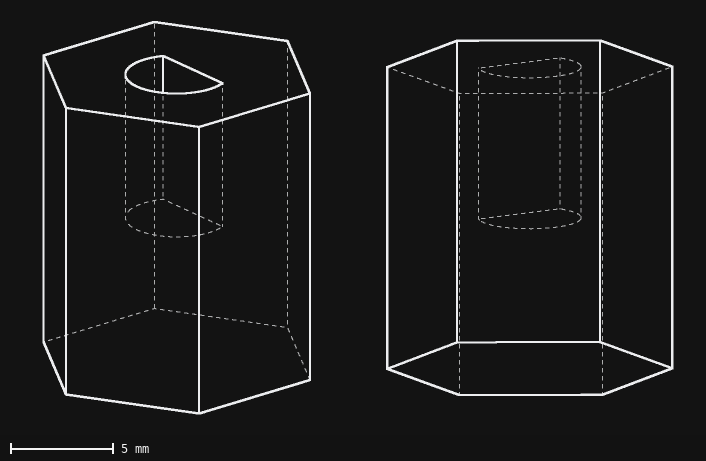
import cadquery as cq
import math

height = 15.0
across_flats = 12.0
across_corners = across_flats / math.cos(math.radians(30))

socket_diameter = 5.0
socket_flat_offset = 1.0
socket_depth = height / 2


def hex_body():
    return (
        cq.Workplane("XY")
        .transformed(rotate=(0, 0, 90))
        .polygon(6, across_corners)
        .extrude(height)
    )


def d_socket():
    radius = socket_diameter / 2
    half_flat = math.sqrt(radius**2 - socket_flat_offset**2)
    return (
        cq.Workplane("XY")
        .workplane(offset=height - socket_depth)
        .moveTo(half_flat, socket_flat_offset)
        .lineTo(-half_flat, socket_flat_offset)
        .threePointArc((0, -radius), (half_flat, socket_flat_offset))
        .close()
        .extrude(socket_depth)
    )


result = hex_body().cut(d_socket())